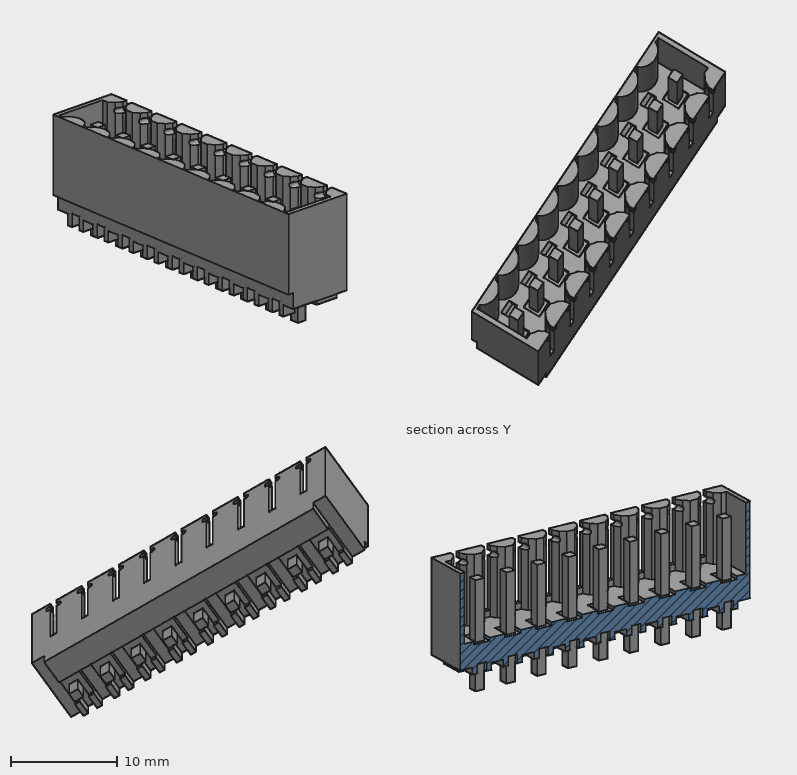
import cadquery as cq
import math


length = 32.9
width = 7.45
height = 9.87
back = width / 2
front = -width / 2

pin_count = 9
row_length = 28.0
row_offset = 0.03
pitch = row_length / (pin_count - 1)
pin_size = 1.0
pin_y = back - 3.98
pin_top = 8.62
pin_bottom = -2.65
pin_xs = [row_offset + (i - (pin_count - 1) / 2) * pitch for i in range(pin_count)]
gap_xs = [x + pitch / 2 for x in pin_xs[:-1]]

cavity_floor = 2.63
end_wall = 0.53
front_wall = 0.3
back_wall = 1.6

rib_radius = 1.65
rib_reach = 1.2
rib_gap_wall = 0.2

bay_radius = 1.68
bay_y = back - 2.65
throat_width = 1.45
slot_width = 0.7
slot_depth = 0.5
slot_floor = cavity_floor + 0.65

window_width = 1.65
window_height = 0.6
window_top = height - 0.55

seat_size = 1.75
seat_depth = 0.33
pocket_width = 1.4
pocket_back = back - 5.45
pocket_ramp_start = back - 5.95
pocket_front = back - 6.35
pocket_depth = 0.4

step_depth = 0.6
step_height = 1.65
step_front = front + step_depth

foot_length = 30.15
foot_height = 1.2
groove_width = 2.75
groove_depth = 0.45
pin_slot_rise = 0.2
notch_width = 1.3


def block(x_mid, x_size, y_min, y_max, z_min, z_max):
    """Box centred on x_mid in X and given by its limits in Y and Z."""
    size = (x_size, y_max - y_min, z_max - z_min)
    return cq.Workplane("XY").box(*size, centered=(True, False, False)).translate((x_mid, y_min, z_min))


def upright_cylinder(x, y, radius, z_min, z_max):
    return cq.Workplane("XY", origin=(x, y, z_min)).circle(radius).extrude(z_max - z_min)


def pin_square(x, size, z_min, z_max):
    """Square bar on the axis of the pin at x."""
    return block(x, size, pin_y - size / 2, pin_y + size / 2, z_min, z_max)


def make_cavity():
    """Space inside the walls, leaving the half-round ribs standing on the front wall."""
    cavity = block(0, length - 2 * end_wall, front + front_wall, back - back_wall, cavity_floor, height)
    strip_length = pitch / 2
    for x in gap_xs:
        strip = block(x, strip_length, front + rib_gap_wall, front + rib_reach, cavity_floor, height)
        cavity = cavity.union(strip)
    rib_axis = front + rib_reach - rib_radius
    for x in pin_xs:
        cavity = cavity.cut(upright_cylinder(x, rib_axis, rib_radius, cavity_floor, height))
    return cavity


def make_keyway(x):
    """Bay, throat, slot and window cut into the back wall behind the pin at x."""
    bay = upright_cylinder(x, bay_y, bay_radius, cavity_floor, height)
    throat_back = back - slot_depth
    throat_front = bay_y + math.sqrt(bay_radius**2 - (throat_width / 2) ** 2)
    throat = (
        cq.Workplane("XY", origin=(x, 0, cavity_floor))
        .polyline([
            (-slot_width / 2, throat_back),
            (slot_width / 2, throat_back),
            (throat_width / 2, throat_front),
            (throat_width / 2, bay_y),
            (-throat_width / 2, bay_y),
            (-throat_width / 2, throat_front),
        ])
        .close()
        .extrude(height - cavity_floor)
    )
    slot = block(x, slot_width, throat_back, back, slot_floor, height)
    window = (
        cq.Workplane("XZ", origin=(x, back, window_top - window_height / 2))
        .slot2D(window_width, window_height)
        .extrude(back - bay_y)
    )
    return bay.union(throat).union(slot).union(window)


def make_floor_pocket(x):
    """Pocket in the cavity floor whose front side ramps up to the floor."""
    pocket_floor = cavity_floor - pocket_depth
    return (
        cq.Workplane("YZ", origin=(x - pocket_width / 2, 0, 0))
        .polyline([
            (pocket_back, cavity_floor),
            (pocket_back, pocket_floor),
            (pocket_ramp_start, pocket_floor),
            (pocket_front, cavity_floor),
        ])
        .close()
        .extrude(pocket_width)
    )


def make_foot():
    """Foot with a groove along the pin row and notches from its front to the back of the groove."""
    foot = block(0, foot_length, step_front, back, -foot_height, 0)
    groove_front = pin_y - groove_width / 2
    groove_back = pin_y + groove_width / 2
    groove_top = -foot_height + groove_depth
    foot = foot.cut(block(0, foot_length, groove_front, groove_back, -foot_height, groove_top))
    for x in gap_xs:
        foot = foot.cut(block(x, notch_width, step_front, groove_back, -foot_height, 0))
    return foot


def make_housing():
    housing = block(0, length, front, back, 0, height)
    housing = housing.cut(block(0, length, front, step_front, 0, step_height))
    housing = housing.union(make_foot())
    housing = housing.cut(make_cavity())
    for x in pin_xs:
        housing = housing.cut(make_keyway(x))
        housing = housing.cut(pin_square(x, seat_size, cavity_floor - seat_depth, cavity_floor))
        housing = housing.cut(block(x, pin_size, step_front, pin_y, -foot_height, pin_slot_rise))
        housing = housing.cut(pin_square(x, pin_size, -foot_height, cavity_floor))
    for x in gap_xs:
        housing = housing.cut(make_floor_pocket(x))
    return housing


def make_pin(x):
    return pin_square(x, pin_size, pin_bottom, pin_top)


housing = make_housing()
pins = [make_pin(x) for x in pin_xs]

result = cq.Compound.makeCompound([housing.solids().val(), *[pin.val() for pin in pins]])